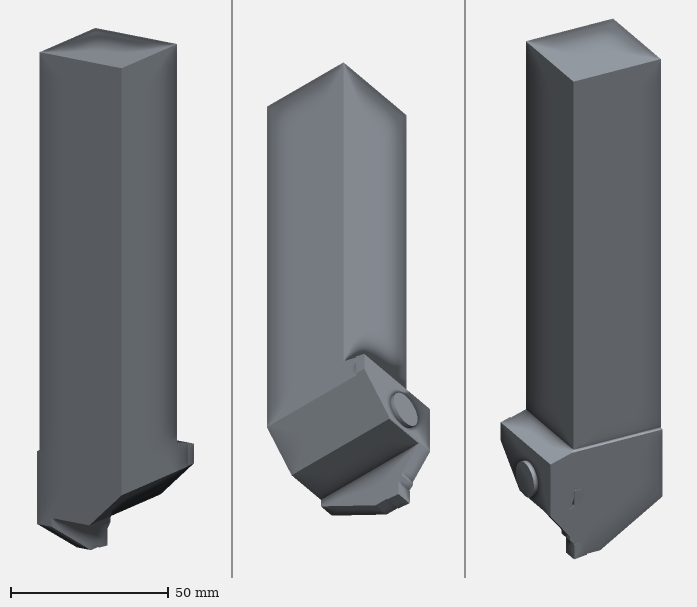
import cadquery as cq

total_height = 171.4

shank_depth = 31.7
shank_side_step = 1.0
holder_right = 32.4

head_depth = 40.6
ledge_inner_z = 38.9
ledge_outer_z = 38.5
flange_corner_z = 36.3
flange_lower_z = 17.6
front_corner_z = 14.4
nose_z = 0.9
nose_front_y = 22.6
nose_back_y = 27.6
head_bottom_z = 17.3
chamfer_start_x = 20.0
chamfer_end_z = 29.8
blade_width = 5.5
pad_thickness = 0.43
pad_depth = 3.5

boss_diameter = 11.8
boss_x = 14.0
boss_z = 24.8
boss_height = 1.5

insert_length = 25.2
insert_seat_y = 27.5
insert_tip_y = 32.0
insert_crown_y = 33.5
end_relief = 0.5
neck_inset = 5.7
crown_inset = 7.2
pocket_slope_inset = 2.9
tip_side_bulge = 0.25
bulge_back_y = 28.1
bulge_middle_y = 29.8
bulge_inset = 5.5


def make_shank():
    width = holder_right - shank_side_step
    height = total_height - chamfer_end_z
    return (
        cq.Workplane("XY", origin=(shank_side_step, 0, chamfer_end_z))
        .rect(width, shank_depth, centered=False)
        .extrude(height)
    )


def head_side_profile(width):
    """Side outline of the head in YZ, extruded along X."""
    return (
        cq.Workplane("YZ")
        .polyline([
            (0, ledge_inner_z),
            (shank_depth, ledge_inner_z),
            (head_depth, flange_corner_z),
            (head_depth, flange_lower_z),
            (nose_back_y, nose_z),
            (nose_front_y, nose_z),
            (0, front_corner_z),
        ])
        .close()
        .extrude(width)
    )


def make_head():
    """Side outline limited by the front outline: blade, chamfer and sloping ledge."""
    head_right = holder_right + pad_thickness
    front_outline = (
        cq.Workplane("XZ")
        .polyline([
            (0, 0),
            (blade_width, 0),
            (blade_width, head_bottom_z),
            (chamfer_start_x, head_bottom_z),
            (head_right, chamfer_end_z),
            (head_right, ledge_inner_z),
            (shank_side_step, ledge_inner_z),
            (0, ledge_outer_z),
        ])
        .close()
        .extrude(-head_depth)
    )
    side_relief = cq.Workplane("XY").box(
        pad_thickness, head_depth - pad_depth, total_height, centered=False
    ).translate((holder_right, 0, 0))
    return head_side_profile(head_right).intersect(front_outline).cut(side_relief)


def make_boss():
    return (
        cq.Workplane("XZ", origin=(boss_x, head_depth, boss_z))
        .circle(boss_diameter / 2)
        .extrude(-boss_height)
    )


def make_pocket():
    """Insert seat, open to the side and to the sloping lower edge of the blade."""
    return (
        cq.Workplane("YZ")
        .polyline([
            (insert_seat_y, 0),
            (insert_seat_y, insert_length - end_relief),
            (insert_tip_y, insert_length),
            (insert_tip_y, insert_length - pocket_slope_inset),
            (insert_crown_y, insert_length - crown_inset),
            (insert_crown_y, 0),
        ])
        .close()
        .extrude(blade_width)
    )


def bulge_section(z, back_y):
    """Horizontal triangle that is highest at the tip face and fades out at back_y."""
    height = tip_side_bulge * (insert_tip_y - back_y) / (insert_tip_y - bulge_back_y)
    corners = [
        cq.Vector(0, back_y, z),
        cq.Vector(0, insert_tip_y, z),
        cq.Vector(-height, insert_tip_y, z),
    ]
    return cq.Wire.makePolygon(corners, close=True)


def make_tip_bulge():
    """Thin wedge on the insert side that peaks at the upper cutting corner."""
    top = bulge_section(insert_length - end_relief, bulge_back_y)
    neck = bulge_section(insert_length - bulge_inset, bulge_middle_y)
    return cq.Workplane(cq.Solid.makeLoft([neck, top], True))


def make_insert():
    middle_z = insert_length / 2
    upper_half = (
        cq.Workplane("YZ")
        .polyline([
            (insert_seat_y, middle_z),
            (insert_seat_y, insert_length - end_relief),
            (insert_tip_y, insert_length),
            (insert_tip_y, insert_length - neck_inset),
            (insert_crown_y, insert_length - crown_inset),
            (insert_crown_y, middle_z),
        ])
        .close()
        .extrude(blade_width)
        .union(make_tip_bulge())
    )
    lower_half = upper_half.mirror("XY", (0, 0, middle_z))
    return upper_half.union(lower_half).clean()


holder = make_shank().union(make_head()).union(make_boss()).cut(make_pocket())
insert = make_insert()

result = cq.Compound.makeCompound([holder.val(), insert.val()])